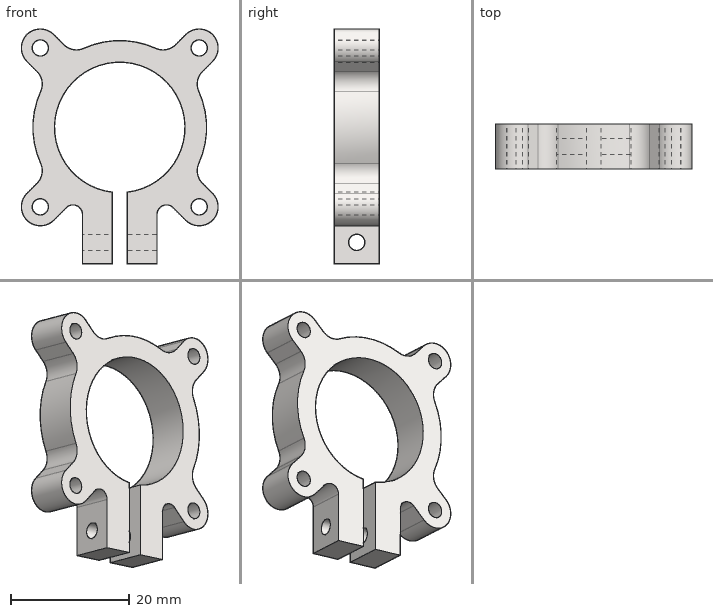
import cadquery as cq
import math

thickness = 7.63
bore_radius = 11.0
ring_radius = 14.7
ear_radius = 3.2
ear_offset = 13.43
hole_diameter = 2.7
ring_fillet = 3.0
leg_fillet = 1.6
leg_half_width = 6.3
slot_width = 2.5
leg_bottom = -23.08
clamp_hole_height = 3.65

ear_reach = math.hypot(ear_offset, ear_offset)
ear_angles = (45, 135, 225, 315)


def front_plane():
    """XZ sketch plane; positive extrusion runs toward -Y."""
    return cq.Workplane("XZ")


def make_ear(angle):
    """Round-ended arm reaching from the bore axis to one mounting hole."""
    arm = front_plane().center(ear_reach / 2, 0).rect(ear_reach, 2 * ear_radius)
    arm = arm.extrude(thickness / 2, both=True)
    tip = front_plane().center(ear_reach, 0).circle(ear_radius).extrude(thickness / 2, both=True)
    return arm.union(tip).rotate((0, 0, 0), (0, 1, 0), -angle)


def make_ring_with_ears():
    """Disc with four ears, blended everywhere except beside the legs."""
    body = front_plane().circle(ring_radius).extrude(thickness / 2, both=True)
    for angle in ear_angles:
        body = body.union(make_ear(angle))

    half_angle = math.degrees(math.asin(ear_radius / ring_radius))
    for angle in ear_angles:
        for side in (-1, 1):
            direction = math.radians(angle + side * half_angle)
            x = ring_radius * math.cos(direction)
            z = ring_radius * math.sin(direction)
            beside_leg = z < -abs(x) and angle > 180
            if not beside_leg:
                corner = cq.selectors.NearestToPointSelector((x, 0, z))
                body = body.edges("|Y").edges(corner).fillet(ring_fillet)
    return body


def make_left_leg():
    """Clamp leg whose outer side blends into the lower left ear."""
    diagonal = math.sqrt(0.5)
    centre_x = -leg_half_width - leg_fillet
    centre_z = centre_x - (ear_radius + leg_fillet) / diagonal
    ear_tangent = (centre_x - leg_fillet * diagonal, centre_z + leg_fillet * diagonal)
    mid_angle = math.radians(135 / 2)
    arc_middle = (
        centre_x + leg_fillet * math.cos(mid_angle),
        centre_z + leg_fillet * math.sin(mid_angle),
    )
    return (
        front_plane()
        .moveTo(0, 0)
        .lineTo(*ear_tangent)
        .threePointArc(arc_middle, (-leg_half_width, centre_z))
        .lineTo(-leg_half_width, leg_bottom)
        .lineTo(0, leg_bottom)
        .close()
        .extrude(thickness / 2, both=True)
    )


left_leg = make_left_leg()
result = make_ring_with_ears().union(left_leg).union(left_leg.mirror("YZ"))

result = result.cut(front_plane().circle(bore_radius).extrude(thickness, both=True))

slot = cq.Workplane("XY").box(slot_width, thickness, -leg_bottom).translate((0, 0, leg_bottom / 2))
result = result.cut(slot)

mounting_holes = (
    front_plane()
    .rect(2 * ear_offset, 2 * ear_offset, forConstruction=True)
    .vertices()
    .circle(hole_diameter / 2)
    .extrude(thickness, both=True)
)
result = result.cut(mounting_holes)

clamp_hole = (
    cq.Workplane("YZ")
    .center(0, leg_bottom + clamp_hole_height)
    .circle(hole_diameter / 2)
    .extrude(2 * leg_half_width, both=True)
)
result = result.cut(clamp_hole)